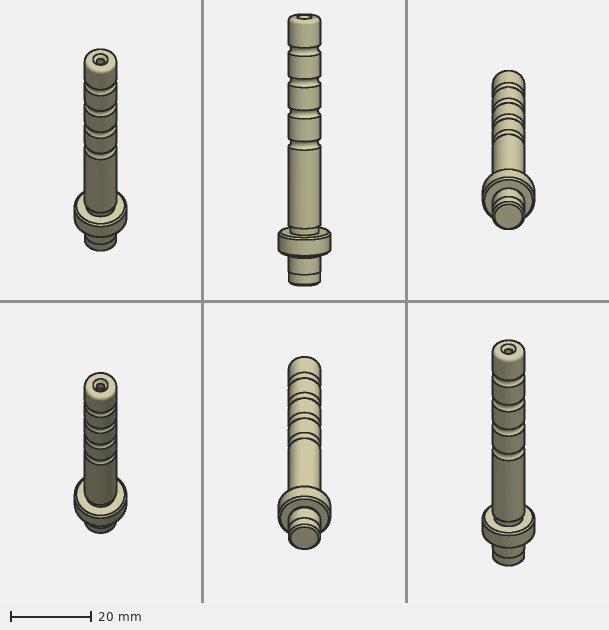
import cadquery as cq
import math

length = 68.0
shaft_radius = 4.0
tip_round = 1.0
base_chamfer = 0.5

pilot_length = 3.0
pilot_relief = 0.02

flange_bottom = 8.0
flange_thickness = 5.0
flange_radius = 6.5
flange_chamfer = 0.5
flange_top = flange_bottom + flange_thickness

neck_radius = 3.6
neck_fillet = shaft_radius - neck_radius
lower_neck_height = 2 * neck_fillet
upper_neck_height = 1.8

groove_count = 4
groove_pitch = 8.0
groove_width = 2.2
groove_depth = 0.6
top_groove_offset = 8.0
groove_arc_radius = ((groove_width / 2) ** 2 + groove_depth**2) / (2 * groove_depth)

countersink_radius = 1.85
countersink_angle = 90.0
pilot_hole_radius = 1.0
pilot_hole_depth = 2.4
drill_point_angle = 118.0


def cone_height(large_radius, small_radius, full_angle):
    """Axial height of a cone between two radii, from its full opening angle."""
    return (large_radius - small_radius) / math.tan(math.radians(full_angle / 2))


def make_body():
    """Revolve the stepped pin with its flange, necks and end treatments."""
    pilot_radius = shaft_radius - pilot_relief
    shaft_bottom = flange_top + upper_neck_height
    lower_neck_bottom = flange_bottom - lower_neck_height
    rim_radius = flange_radius - flange_chamfer
    fillet_inset = neck_fillet * (1 - math.sqrt(0.5))
    round_inset = tip_round * (1 - math.sqrt(0.5))
    return (
        cq.Workplane("XZ")
        .moveTo(0, 0)
        .lineTo(pilot_radius - base_chamfer, 0)
        .lineTo(pilot_radius, base_chamfer)
        .lineTo(pilot_radius, pilot_length)
        .lineTo(shaft_radius, pilot_length)
        .lineTo(shaft_radius, lower_neck_bottom)
        .threePointArc(
            (neck_radius + fillet_inset, lower_neck_bottom + fillet_inset),
            (neck_radius, lower_neck_bottom + neck_fillet),
        )
        .lineTo(neck_radius, flange_bottom)
        .lineTo(rim_radius, flange_bottom)
        .lineTo(flange_radius, flange_bottom + flange_chamfer)
        .lineTo(flange_radius, flange_top - flange_chamfer)
        .lineTo(rim_radius, flange_top)
        .lineTo(neck_radius, flange_top)
        .lineTo(neck_radius, shaft_bottom - neck_fillet)
        .threePointArc(
            (neck_radius + fillet_inset, shaft_bottom - fillet_inset),
            (shaft_radius, shaft_bottom),
        )
        .lineTo(shaft_radius, length - tip_round)
        .threePointArc(
            (shaft_radius - round_inset, length - round_inset),
            (shaft_radius - tip_round, length),
        )
        .lineTo(0, length)
        .close()
        .revolve(360, (0, 0, 0), (0, 1, 0))
    )


def make_ring_groove(height):
    """Torus that cuts one round-bottomed groove centred at the given height."""
    centre_radius = shaft_radius - groove_depth + groove_arc_radius
    return cq.Workplane(cq.Solid.makeTorus(centre_radius, groove_arc_radius, cq.Vector(0, 0, height)))


def make_centre_hole():
    """Cutter for the countersink, the small drilled hole and its pointed end."""
    countersink_bottom = length - cone_height(countersink_radius, pilot_hole_radius, countersink_angle)
    drill_shoulder = countersink_bottom - pilot_hole_depth
    drill_tip = drill_shoulder - cone_height(pilot_hole_radius, 0, drill_point_angle)
    return (
        cq.Workplane("XZ")
        .moveTo(0, length)
        .lineTo(countersink_radius, length)
        .lineTo(pilot_hole_radius, countersink_bottom)
        .lineTo(pilot_hole_radius, drill_shoulder)
        .lineTo(0, drill_tip)
        .close()
        .revolve(360, (0, 0, 0), (0, 1, 0))
    )


result = make_body()
for index in range(groove_count):
    groove_height = length - top_groove_offset - index * groove_pitch
    result = result.cut(make_ring_groove(groove_height))
result = result.cut(make_centre_hole())